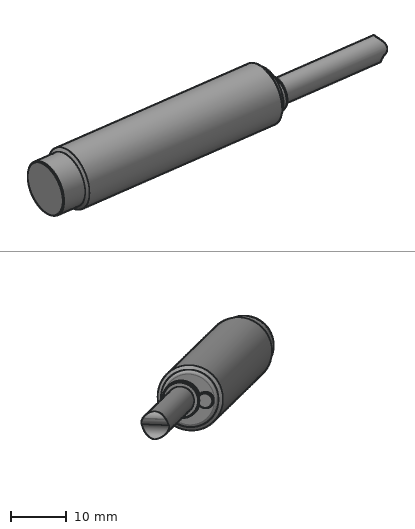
import cadquery as cq
import math

barrel_diameter = 12.0
barrel_front = 5.0
barrel_rear = 50.0
nose_diameter = 10.55
nose_chamfer = 0.2
bevel_angle = 30.0
bevel_depth = (barrel_diameter - nose_diameter) / 2
bevel_length = bevel_depth * math.tan(math.radians(bevel_angle))

plug_diameter = 10.5
plug_rear = 50.8
plug_fillet = 0.6

cable_offset = 1.3
collar_diameter = 6.8
collar_rear = 52.0
lamp_offset = -3.1
lamp_diameter = 3.0
lamp_rear = 51.55
boss_bevel_length = 0.4
boss_bevel_depth = 0.2

cable_diameter = 5.0
cable_radius = cable_diameter / 2
cable_end = 75.6
crest_height = 1.25
valley_height = -0.95
upper_edge_drop = 0.7
middle_drop = 0.95
valley_drop = 1.4


def cylinder_along_y(diameter, start, end, x=0.0):
    plane = cq.Plane(origin=(x, start, 0), xDir=(1, 0, 0), normal=(0, 1, 0))
    return cq.Workplane(plane).circle(diameter / 2).extrude(end - start)


def make_barrel():
    radius = barrel_diameter / 2
    end_radius = radius - bevel_depth
    return (
        cq.Workplane("XY")
        .moveTo(0, barrel_front)
        .lineTo(end_radius, barrel_front)
        .lineTo(radius, barrel_front + bevel_length)
        .lineTo(radius, barrel_rear - bevel_length)
        .lineTo(end_radius, barrel_rear)
        .lineTo(0, barrel_rear)
        .close()
        .revolve(360, (0, 0, 0), (0, 1, 0))
    )


def make_boss(diameter, rear, x):
    """Round boss on the rear plug, with a steep bevel around its rear rim."""
    radius = diameter / 2
    return (
        cq.Workplane("XY", origin=(x, 0, 0))
        .moveTo(0, plug_rear)
        .lineTo(radius, plug_rear)
        .lineTo(radius, rear - boss_bevel_length)
        .lineTo(radius - boss_bevel_depth, rear)
        .lineTo(0, rear)
        .close()
        .revolve(360, (0, 0, 0), (0, 1, 0))
    )


def make_housing():
    nose = cylinder_along_y(nose_diameter, 0, barrel_front).faces("<Y").chamfer(nose_chamfer)
    plug = cylinder_along_y(plug_diameter, barrel_rear, plug_rear).faces(">Y").edges().fillet(plug_fillet)
    collar = make_boss(collar_diameter, collar_rear, cable_offset)
    lamp = make_boss(lamp_diameter, lamp_rear, lamp_offset)
    return make_barrel().union(nose).union(plug).union(collar).union(lamp)


def make_cable():
    """Round cable whose free end is cut to a wave: a crest above a valley."""
    cable = cylinder_along_y(cable_diameter, collar_rear, cable_end, cable_offset)
    wave_side = (
        cq.Workplane("YZ")
        .moveTo(collar_rear, -cable_radius)
        .lineTo(cable_end, -cable_radius)
        .threePointArc((cable_end - valley_drop, valley_height), (cable_end - middle_drop, 0))
        .threePointArc((cable_end, crest_height), (cable_end - upper_edge_drop, cable_radius))
        .lineTo(collar_rear, cable_radius)
        .close()
        .extrude(cable_diameter, both=True)
    )
    return cable.intersect(wave_side)


housing = make_housing()
cable = make_cable()
result = cq.Compound.makeCompound([housing.val(), cable.val()])